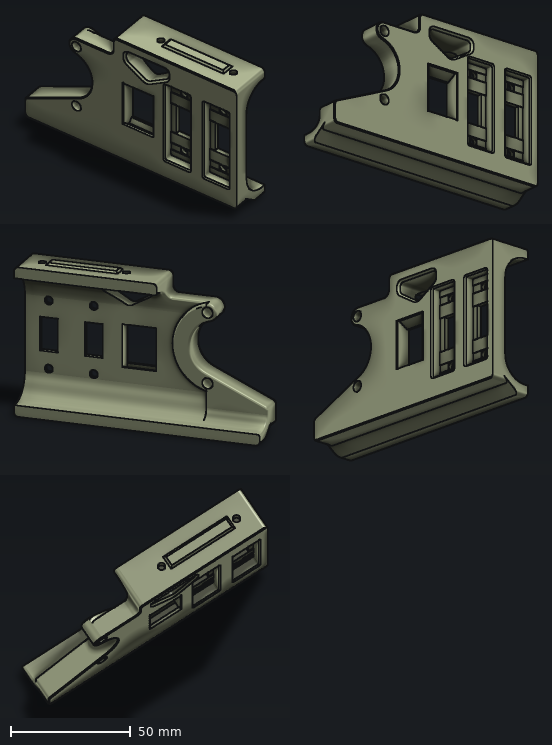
import cadquery as cq
import math

length = 109.5
depth = 20.0
top_z = 65.9

plate_thickness = 7.0
flange_thickness = 5.0
cove_radius = 11.1
heel_z = 3.9
heel_end_y = 9.2
toe_start_y = 14.7

arm_thickness = 10.5
arm_fillet = 5.0
arm_foot_x = 27.4

hook_x = 26.8
hook_z = 52.6
hook_radius = 4.0
motor_radius = 12
motor_z = 37.0
slope_corner_z = 13.8
gap = hook_radius + motor_radius
motor_x = hook_x - math.sqrt(gap**2 - (hook_z - motor_z) ** 2)
ring_radius = 20.0
riser_x = 45.8
riser_fillet = 3.0
corner_radius = 2.0
front_chamfer = 0.4
rear_radius = 1.0

motor_hole_diameter = 4.7
slot_hole_diameter = 3.5
top_hole_diameter = 3.2

bar_x = 81.8
bar_y = 10.1
bar_length = 32.0
bar_width = 6.2
bar_height = 0.9
bar_inset = 1.0
top_hole_spacing = 37.5
top_hole_depth = 4.4

window_left = 50.6
window_right = 66.5
window_bottom = 22.8
window_top = 44.2
window_throat_top = 41.7
window_lip = 1.3
window_side_step = 0.39
groove_depth = 2.1
ramp_start_y = 4.3
ramp_end_y = 5.9

point_x = 63.0
point_half_width = 11.1
point_top = 60.9
point_tip_z = 49.9
point_angle = math.radians(30)
point_top_radius = 2.0
point_low_radius = 3.0
point_chamfer = 1.0

slot_centers_x = (78.8, 98.9)
slot_z = 33.2
slot_width = 13.0
slot_height = 39.3
slot_depth = 4.5
slot_chamfer = 0.7
slot_corner = 0.8
step_depth = 0.3
switch_width = 8.0
switch_height = 14.9
slot_hole_spacing = 30.0

margin = 0.05

sliver = 0.001


def box(x0, x1, y0, y1, z0, z1):
    return cq.Workplane("XY").box(x1 - x0, y1 - y0, z1 - z0, centered=False).translate((x0, y0, z0))


def front_sketch():
    """Workplane with local axes X and Z; negative extrusion runs toward +Y."""
    return cq.Workplane("XZ")


def cylinder_y(x, z, diameter):
    return front_sketch().center(x, z).circle(diameter / 2).extrude(-depth)


def channel():
    """C-shaped section along X with quarter-round coves behind the plate."""
    cove_y = plate_thickness + cove_radius
    low_z = flange_thickness
    high_z = top_z - flange_thickness
    diagonal = cove_radius * math.sqrt(0.5)
    low_middle = (cove_y - diagonal, low_z + cove_radius - diagonal)
    high_middle = (cove_y - diagonal, high_z - cove_radius + diagonal)
    return (
        cq.Workplane("YZ")
        .moveTo(0, heel_z)
        .lineTo(heel_end_y, heel_z)
        .lineTo(toe_start_y, 0)
        .lineTo(depth, 0)
        .lineTo(depth, low_z)
        .lineTo(cove_y, low_z)
        .threePointArc(low_middle, (plate_thickness, low_z + cove_radius))
        .lineTo(plate_thickness, high_z - cove_radius)
        .threePointArc(high_middle, (cove_y, high_z))
        .lineTo(depth, high_z)
        .lineTo(depth, top_z)
        .lineTo(0, top_z)
        .close()
        .extrude(length)
    )


def arm(silhouette):
    """Thicker plate at the motor end, blended into the lower cove."""
    cove_y = plate_thickness + cove_radius
    cove_z = flange_thickness + cove_radius
    blend_y = arm_thickness + arm_fillet
    reach = cove_radius - arm_fillet
    angle = math.asin((cove_y - blend_y) / reach)
    blend_z = cove_z - reach * math.cos(angle)
    joint = (cove_y - cove_radius * math.sin(angle), cove_z - cove_radius * math.cos(angle))
    middle = (math.pi / 2 + angle) / 2
    inside_plate_y = 1.1
    profile = (
        cq.Workplane("YZ")
        .moveTo(inside_plate_y, flange_thickness)
        .lineTo(joint[0], flange_thickness)
        .lineTo(*joint)
        .threePointArc(
            (blend_y - arm_fillet * math.sin(middle), blend_z - arm_fillet * math.cos(middle)),
            (arm_thickness, blend_z),
        )
        .lineTo(arm_thickness, hook_z + hook_radius)
        .lineTo(inside_plate_y, hook_z + hook_radius)
        .close()
        .extrude(riser_x)
    )
    foot = box(0, arm_foot_x, 0, depth, 0, motor_z)
    ring = cylinder_y(motor_x, motor_z, 2 * ring_radius)
    return profile.intersect(foot.union(ring)).intersect(silhouette)


def outline(bottom_z):
    """Front silhouette: slope, motor clearance arc, hook, riser and top, standing on bottom_z."""
    ux = (hook_x - motor_x) / gap
    uz = (hook_z - motor_z) / gap
    rise = motor_z - slope_corner_z
    span = math.hypot(motor_x, rise)
    slope = math.atan2(rise, motor_x) - math.asin(motor_radius / span)
    slope_end = (motor_x + motor_radius * math.sin(slope), motor_z - motor_radius * math.cos(slope))
    body = (
        front_sketch()
        .moveTo(0, bottom_z)
        .lineTo(0, slope_corner_z)
        .lineTo(*slope_end)
        .threePointArc(
            (motor_x + motor_radius, motor_z), (motor_x + motor_radius * ux, motor_z + motor_radius * uz)
        )
        .threePointArc((hook_x - hook_radius, hook_z), (hook_x, hook_z + hook_radius))
        .lineTo(riser_x, hook_z + hook_radius)
        .lineTo(riser_x, top_z)
        .lineTo(length, top_z)
        .lineTo(length, bottom_z)
        .close()
        .extrude(-depth)
    )

    def corner(shape, x, z, radius):
        near = cq.selectors.BoxSelector((x - margin, 0, z - margin), (x + margin, depth, z + margin))
        return shape.edges(near).fillet(radius)

    body = corner(body, 0, bottom_z, corner_radius)
    body = corner(body, 0, slope_corner_z, corner_radius)
    body = corner(body, riser_x, hook_z + hook_radius, riser_fillet)
    return corner(body, riser_x, top_z, corner_radius)


def behind_undercut():
    """Everything behind the plane of the sloping face that joins heel and toe."""
    plane_top_z = heel_z * toe_start_y / (toe_start_y - heel_end_y)
    return (
        cq.Workplane("YZ")
        .moveTo(toe_start_y, 0)
        .lineTo(depth, 0)
        .lineTo(depth, top_z)
        .lineTo(0, top_z)
        .lineTo(0, plane_top_z)
        .close()
        .extrude(length)
    )


def edges_within(shape, low, high):
    """Edges lying entirely inside the box between two corner points."""

    def inside(edge):
        limits = edge.BoundingBox()
        return (
            limits.xmin > low[0]
            and limits.ymin > low[1]
            and limits.zmin > low[2]
            and limits.xmax < high[0]
            and limits.ymax < high[1]
            and limits.zmax < high[2]
        )

    return shape.edges().filter(inside)


def round_edges(shape):
    """Rear rim of the arm and riser, the front border and the +X corners."""
    rim_top = top_z - flange_thickness + margin
    arm_rim = edges_within(
        shape,
        (-margin, arm_thickness - margin, flange_thickness - margin),
        (margin, depth + margin, slope_corner_z),
    ).filter(lambda edge: edge.Center().y < depth - margin)
    shape = arm_rim.fillet(rear_radius)
    riser_rim = edges_within(
        shape,
        (hook_x - margin, plate_thickness, hook_z + hook_radius - margin),
        (riser_x + margin, depth + margin, rim_top),
    ).filter(lambda edge: edge.Center().y < depth - margin and edge.BoundingBox().xmax > hook_x + 1.1)
    shape = riser_rim.fillet(rear_radius)
    border = edges_within(shape, (-margin, -margin, -margin), (length + margin, margin, top_z + margin))
    shape = border.filter(lambda edge: edge.Center().x < length - margin).chamfer(front_chamfer)
    end_corners = (
        (front_chamfer, depth, top_z),
        (front_chamfer, heel_end_y, heel_z),
        (toe_start_y, depth, 0),
    )
    for start_y, end_y, z in end_corners:
        corner = edges_within(
            shape,
            (length - margin, start_y - margin, z - margin),
            (length + margin, end_y + margin, z + margin),
        )
        shape = corner.fillet(corner_radius)
    return shape


def ring_rim():
    """Material outside the rounded rear rim of the motor ring."""
    blank = front_sketch().center(motor_x, motor_z).circle(ring_radius + margin).extrude(-arm_thickness)
    ring = front_sketch().center(motor_x, motor_z).circle(ring_radius).extrude(-arm_thickness)
    waste = blank.cut(ring.faces(">Y").edges().fillet(rear_radius))
    beside_foot = box(arm_foot_x, length, arm_thickness - rear_radius, depth, 0, hook_z + hook_radius)
    return waste.intersect(beside_foot)


def label_bar():
    """Low bar with sloping sides."""
    return (
        cq.Workplane("XY", origin=(bar_x, bar_y, top_z))
        .rect(bar_length, bar_width)
        .workplane(offset=bar_height)
        .rect(bar_length - 2 * bar_inset, bar_width - 2 * bar_inset)
        .loft()
    )


def top_holes():
    return (
        cq.Workplane("XY", origin=(bar_x, bar_y, top_z))
        .rarray(top_hole_spacing, 1.1, 2, 1)
        .circle(top_hole_diameter / 2)
        .extrude(-top_hole_depth)
    )


def motor_holes():
    """Two holes placed evenly above and below the motor centre."""
    upper = cylinder_y(hook_x, hook_z, motor_hole_diameter)
    lower = cylinder_y(hook_x, 2 * motor_z - hook_z, motor_hole_diameter)
    return upper.union(lower)


def keystone_window():
    """Opening with a front lip, a groove below the lip and a sloping roof."""
    throat = (
        cq.Workplane("YZ", origin=(window_left + window_side_step, 0, 0))
        .moveTo(0, window_bottom)
        .lineTo(window_lip, window_bottom)
        .lineTo(window_lip, window_bottom - groove_depth)
        .lineTo(ramp_start_y, window_bottom - groove_depth)
        .lineTo(ramp_end_y, window_bottom)
        .lineTo(depth, window_bottom)
        .lineTo(depth, window_throat_top)
        .lineTo(ramp_end_y, window_throat_top)
        .lineTo(window_lip, window_top)
        .lineTo(0, window_top)
        .close()
        .extrude(window_right - window_left - 2 * window_side_step)
    )
    mouth = box(window_left, window_right, 0, window_side_step, window_bottom, window_top)
    return throat.union(mouth)


def pointed_prism(grow, length_y):
    """Five-sided prism with a downward tip; grow offsets its outline outward."""
    half = point_half_width + grow
    tip_z = point_tip_z - grow / math.cos(point_angle)
    shoulder_z = tip_z + half * math.tan(point_angle)
    high_z = point_top + grow
    prism = (
        front_sketch()
        .moveTo(point_x, tip_z)
        .lineTo(point_x + half, shoulder_z)
        .lineTo(point_x + half, high_z)
        .lineTo(point_x - half, high_z)
        .lineTo(point_x - half, shoulder_z)
        .close()
        .extrude(-length_y)
    )
    split_z = (shoulder_z + high_z) / 2
    upper = cq.selectors.BoxSelector((0, -depth, split_z), (length, depth, top_z))
    lower = cq.selectors.BoxSelector((0, -depth, 0), (length, depth, split_z))
    prism = prism.edges("|Y").edges(upper).fillet(point_top_radius + grow)
    return prism.edges("|Y").edges(lower).fillet(point_low_radius + grow)


def pointed_opening():
    """Pointed prism through the plate with a chamfered mouth."""
    mouth = pointed_prism(point_chamfer, point_chamfer)
    mouth = mouth.faces(">Y").edges().chamfer(point_chamfer - sliver)
    return pointed_prism(0, depth).union(mouth)


def switch_slot(x):
    """Pocket with a stepped floor, a switch opening and two screw holes."""
    pocket = front_sketch().center(x, slot_z).rect(slot_width, slot_height).extrude(-slot_depth)
    pocket = pocket.edges("|Y").fillet(slot_corner)
    mouth_width = slot_width + 2 * slot_chamfer
    mouth_height = slot_height + 2 * slot_chamfer
    mouth = front_sketch().center(x, slot_z).rect(mouth_width, mouth_height).extrude(-slot_chamfer - sliver)
    mouth = mouth.edges("|Y").fillet(slot_corner + slot_chamfer)
    mouth = mouth.faces(">Y").edges().chamfer(slot_chamfer)
    half = slot_width / 2
    switch_low = slot_z - switch_height / 2
    switch_high = slot_z + switch_height / 2
    step_y = slot_depth + step_depth
    slot = pocket.union(mouth)
    slot = slot.union(box(x - half, x + half, 0, step_y, switch_low, switch_high))
    slot = slot.union(box(x - switch_width / 2, x + switch_width / 2, 0, depth, switch_low, switch_high))
    radius = slot_hole_diameter / 2
    for side in (-1, 1):
        z = slot_z + side * slot_hole_spacing / 2
        slot = slot.union(box(x - half, x + half, 0, step_y, z - radius, z + radius))
        slot = slot.union(box(x - radius, x + radius, 0, step_y + step_depth, z - radius, z + radius))
        slot = slot.union(cylinder_y(x, z, slot_hole_diameter))
    return slot


silhouette = outline(0).intersect(outline(heel_z).union(behind_undercut()))
body = round_edges(channel().intersect(silhouette).union(arm(silhouette)))
body = body.cut(ring_rim()).union(label_bar())
body = body.cut(top_holes()).cut(motor_holes()).cut(keystone_window())
body = body.cut(pointed_opening())
for slot_x in slot_centers_x:
    body = body.cut(switch_slot(slot_x))
result = body